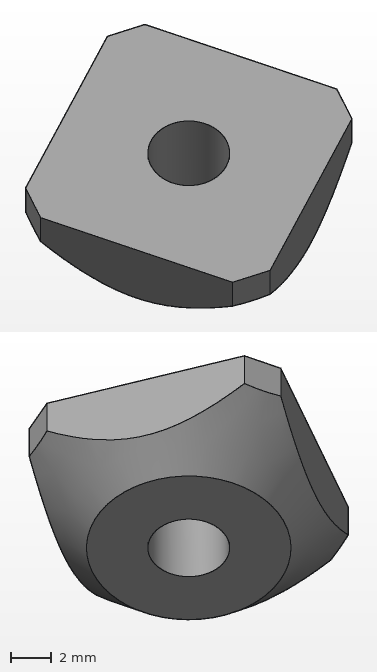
import cadquery as cq

side = 13.0
height = 5.5
corner_chamfer = 1.4
hole_diameter = 4.0
cone_bottom_diameter = 10.0
cone_top_diameter = 20.0


def square_block():
    """Square plate with its four vertical corners chamfered."""
    block = cq.Workplane("XY").rect(side, side).extrude(height)
    return block.edges("|Z").chamfer(corner_chamfer)


def cone_envelope():
    """Cone frustum that widens upward and trims the underside of the block."""
    bottom_radius = cone_bottom_diameter / 2
    top_radius = cone_top_diameter / 2
    return cq.Workplane(obj=cq.Solid.makeCone(bottom_radius, top_radius, height))


def through_hole():
    """Cylinder for the central hole."""
    return cq.Workplane("XY").circle(hole_diameter / 2).extrude(height)


result = square_block().intersect(cone_envelope()).cut(through_hole())